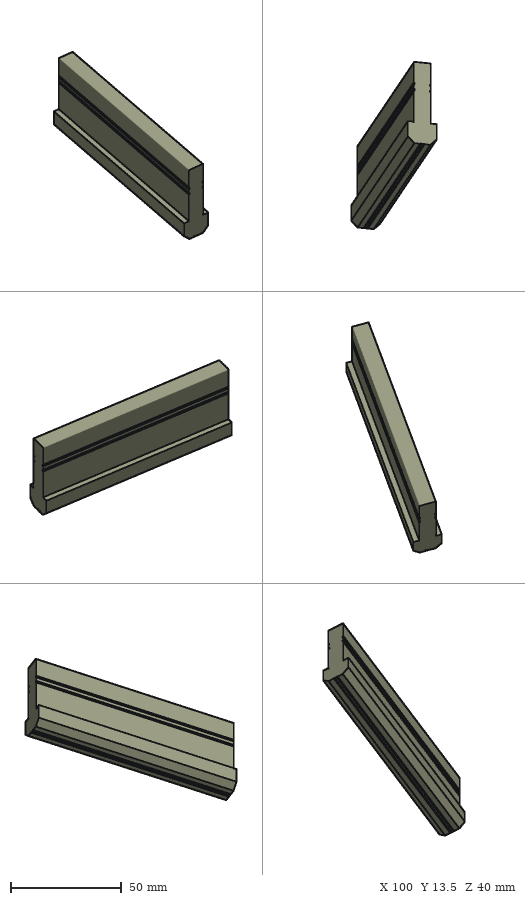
import cadquery as cq

length = 100.0
head_width = 13.5
total_height = 40.0

stem_width = 8.0
head_height = 10.5
head_chamfer = 3.0
top_radius = 0.5

stem_groove_depth = 0.5
stem_groove_drops = (10.7, 13.7)

base_groove_depth = 0.25
base_groove_spacing = 1.5


def make_bar(width, bottom_z, top_z):
    """Full-length bar centred on X and Y, between two heights."""
    base = cq.Workplane("XY").workplane(offset=bottom_z)
    return base.rect(length, width).extrude(top_z - bottom_z)


def make_head():
    """Wide foot with its two lower long edges chamfered at 45 degrees."""
    return make_bar(head_width, 0, head_height).faces("<Z").edges("|X").chamfer(head_chamfer)


def make_stem():
    """Upright blade on the head with its two upper long edges rounded."""
    return make_bar(stem_width, head_height, total_height).faces(">Z").edges("|X").fillet(top_radius)


def make_groove(y, z, depth):
    """Full-length diamond cutter centred on a face; its inner half leaves a V-groove."""
    section = [(y - depth, z), (y, z + depth), (y + depth, z), (y, z - depth)]
    return cq.Workplane("YZ").polyline(section).close().extrude(length / 2, both=True)


result = make_head().union(make_stem())
for side in (-1, 1):
    for drop in stem_groove_drops:
        result = result.cut(make_groove(side * stem_width / 2, total_height - drop, stem_groove_depth))
    result = result.cut(make_groove(side * base_groove_spacing / 2, 0, base_groove_depth))